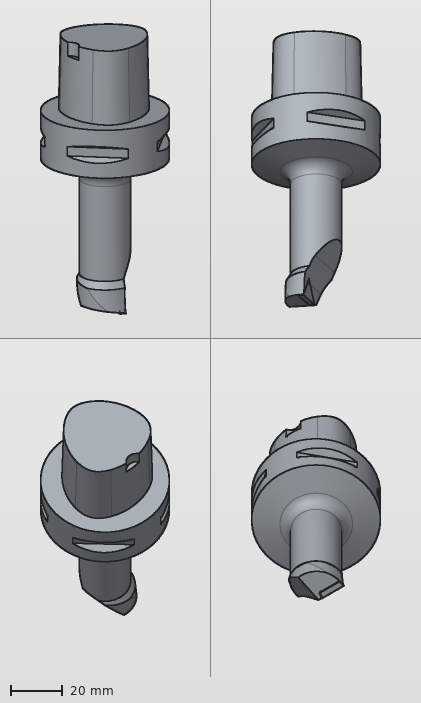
import cadquery as cq
import math


SHANK_HEIGHT = 30.0
SHANK_RADIUS_BOTTOM = 17.6
SHANK_RADIUS_TOP = 16.9
LOBE_RISE = 1.1
LOBE_HALF_ANGLE = 35.0
POINTS_PER_SIDE = 9
NOTCH_RADIUS = 4.2
NOTCH_DEPTH = 5.5
NOTCH_INNER_Y = -13.9

FLANGE_RADIUS = 25.02
FLANGE_HEIGHT = 19.6
BAR_RADIUS = 10.0
NECK_ANGLE = math.radians(15)
NECK_FILLET = 5.5

SLOT_COUNT = 4
SLOT_FLOOR_RADIUS = 22.0
SLOT_CENTER_Z = -10.1
SLOT_FLOOR_WIDTH = 3.7
SLOT_MOUTH_WIDTH = 6.8

TIP_Z = -80.0
HEAD_START_Z = -66.7
COLLAR_HEIGHT = 3.0
HEAD_RADIUS_TOP = 11.8
HEAD_RADIUS_BOTTOM = 12.5
HEAD_TRIM_RADIUS = 11.7
HEAD_TRIM_X = 1.0
HEAD_TRIM_Y = 0.1

RAKE_Y = 0.4
RAKE_TOP_Z = -73.2
CHIP_ARC_RADIUS = 18.7
CHIP_ANGLE = math.radians(35)
RELIEF_TOP_Z = -64.7
RELIEF_END_X = 1.1
END_GAP = 0.3
END_RELIEF_ANGLE = math.radians(9.5)

INSERT_TIP_X = 12.9
INSERT_EDGE = 10.5
INSERT_THICKNESS = 2.4
INSERT_CLEARANCE = 7.0

CUT_MARGIN = 5.5


def outline_point(mean_radius, degrees):
    """Point of the lobed outline whose outward normal has the given angle."""
    angle = math.radians(degrees)
    lobe_angle = 3 * math.radians(degrees - 90)
    reach = mean_radius + LOBE_RISE * math.cos(lobe_angle)
    slope = -3 * LOBE_RISE * math.sin(lobe_angle)
    x = reach * math.cos(angle) - slope * math.sin(angle)
    y = reach * math.sin(angle) + slope * math.cos(angle)
    return x, y


def outline_wire(mean_radius, z):
    """Closed outline: three lobes joined by three flatter sides."""
    edges = []
    for lobe in range(3):
        center = 90 + 120 * lobe
        limits = [center - LOBE_HALF_ANGLE, center + LOBE_HALF_ANGLE, center + 120 - LOBE_HALF_ANGLE]
        for start, end in zip(limits, limits[1:]):
            step = (end - start) / (POINTS_PER_SIDE - 1)
            points = [
                cq.Vector(*outline_point(mean_radius, start + step * i), z)
                for i in range(POINTS_PER_SIDE)
            ]
            edges.append(cq.Edge.makeSpline(points))
    return cq.Wire.assembleEdges(edges)


def make_shank():
    bottom = outline_wire(SHANK_RADIUS_BOTTOM, 0)
    top = outline_wire(SHANK_RADIUS_TOP, SHANK_HEIGHT)
    shank = cq.Workplane(cq.Solid.makeLoft([bottom, top], True))
    notch = (
        cq.Workplane("XY", origin=(0, NOTCH_INNER_Y - NOTCH_RADIUS, SHANK_HEIGHT - NOTCH_DEPTH))
        .circle(NOTCH_RADIUS)
        .extrude(NOTCH_DEPTH + CUT_MARGIN)
    )
    return shank.cut(notch)


def make_flange_and_bar():
    """Turned body; a fillet joins the conical neck to the bar."""
    fillet_x = BAR_RADIUS + NECK_FILLET * (1 - math.sin(NECK_ANGLE))
    fillet_z = -FLANGE_HEIGHT - (FLANGE_RADIUS - fillet_x) * math.tan(NECK_ANGLE)
    fillet_end_z = fillet_z - NECK_FILLET * math.cos(NECK_ANGLE)
    middle_angle = (math.pi / 2 - NECK_ANGLE) / 2
    middle_x = BAR_RADIUS + NECK_FILLET * (1 - math.cos(middle_angle))
    middle_z = fillet_end_z + NECK_FILLET * math.sin(middle_angle)
    return (
        cq.Workplane("XZ")
        .lineTo(FLANGE_RADIUS, 0)
        .lineTo(FLANGE_RADIUS, -FLANGE_HEIGHT)
        .lineTo(fillet_x, fillet_z)
        .threePointArc((middle_x, middle_z), (BAR_RADIUS, fillet_end_z))
        .lineTo(BAR_RADIUS, HEAD_START_Z)
        .lineTo(0, HEAD_START_Z)
        .close()
        .revolve(360, (0, 0), (0, 1))
    )


def make_slots():
    profile = [
        (SLOT_FLOOR_RADIUS, SLOT_CENTER_Z - SLOT_FLOOR_WIDTH / 2),
        (FLANGE_RADIUS, SLOT_CENTER_Z - SLOT_MOUTH_WIDTH / 2),
        (FLANGE_RADIUS, SLOT_CENTER_Z + SLOT_MOUTH_WIDTH / 2),
        (SLOT_FLOOR_RADIUS, SLOT_CENTER_Z + SLOT_FLOOR_WIDTH / 2),
    ]
    slot = cq.Workplane("XZ").polyline(profile).close().extrude(FLANGE_RADIUS, both=True)
    spacing = 360 / SLOT_COUNT
    return [slot.rotate((0, 0, 0), (0, 0, 1), spacing * (i + 0.5)) for i in range(SLOT_COUNT)]


def make_head():
    """Flared collar and head, narrowed by an upright cylinder."""
    flare = (
        cq.Workplane("XZ")
        .moveTo(0, HEAD_START_Z)
        .lineTo(BAR_RADIUS, HEAD_START_Z)
        .lineTo(HEAD_RADIUS_TOP, HEAD_START_Z - COLLAR_HEIGHT)
        .lineTo(HEAD_RADIUS_BOTTOM, TIP_Z)
        .lineTo(0, TIP_Z)
        .close()
        .revolve(360, (0, 0), (0, 1))
    )
    trim = (
        cq.Workplane("XY", origin=(HEAD_TRIM_X, HEAD_TRIM_Y, TIP_Z))
        .circle(HEAD_TRIM_RADIUS)
        .extrude(HEAD_START_Z - TIP_Z)
    )
    return flare.intersect(trim)


def make_chip_space():
    """Removes the +Y half of the head, running out along an arc and a slope."""
    arc_end_y = RAKE_Y + CHIP_ARC_RADIUS * (1 - math.cos(CHIP_ANGLE))
    arc_end_z = RAKE_TOP_Z + CHIP_ARC_RADIUS * math.sin(CHIP_ANGLE)
    middle_y = RAKE_Y + CHIP_ARC_RADIUS * (1 - math.cos(CHIP_ANGLE / 2))
    middle_z = RAKE_TOP_Z + CHIP_ARC_RADIUS * math.sin(CHIP_ANGLE / 2)
    outer_y = HEAD_RADIUS_BOTTOM + CUT_MARGIN
    outer_z = arc_end_z + (outer_y - arc_end_y) / math.tan(CHIP_ANGLE)
    return (
        cq.Workplane("YZ")
        .moveTo(RAKE_Y, TIP_Z - CUT_MARGIN)
        .lineTo(RAKE_Y, RAKE_TOP_Z)
        .threePointArc((middle_y, middle_z), (arc_end_y, arc_end_z))
        .lineTo(outer_y, outer_z)
        .lineTo(outer_y, TIP_Z - CUT_MARGIN)
        .close()
        .extrude(HEAD_RADIUS_BOTTOM + CUT_MARGIN, both=True)
    )


def make_back_relief():
    """Sloping cut that takes away the -X side of the head."""
    slope = (RELIEF_TOP_Z - TIP_Z) / (RELIEF_END_X + BAR_RADIUS)
    outer_x = -BAR_RADIUS - CUT_MARGIN
    inner_x = RELIEF_END_X + CUT_MARGIN
    corners = [
        (outer_x, RELIEF_TOP_Z + slope * CUT_MARGIN),
        (inner_x, TIP_Z - slope * CUT_MARGIN),
        (outer_x, TIP_Z - slope * CUT_MARGIN),
    ]
    reach = HEAD_RADIUS_BOTTOM + CUT_MARGIN
    return cq.Workplane("XZ").polyline(corners).close().extrude(reach, both=True)


def make_end_relief():
    """Sloping cut under the head, rising toward -Y."""
    reach = HEAD_RADIUS_BOTTOM + CUT_MARGIN
    end_z = TIP_Z + END_GAP
    corners = [
        (RAKE_Y, end_z),
        (RAKE_Y - reach, end_z + reach * math.tan(END_RELIEF_ANGLE)),
        (RAKE_Y - reach, TIP_Z - CUT_MARGIN),
        (RAKE_Y, TIP_Z - CUT_MARGIN),
    ]
    return cq.Workplane("YZ").polyline(corners).close().extrude(reach, both=True)


def make_insert():
    """Triangle lying in the rake face, tapering toward its seat."""
    corners = [
        (INSERT_TIP_X, TIP_Z),
        (INSERT_TIP_X - INSERT_EDGE, TIP_Z),
        (INSERT_TIP_X - INSERT_EDGE / 2, TIP_Z + INSERT_EDGE * math.sin(math.radians(60))),
    ]
    return (
        cq.Workplane("XZ", origin=(0, RAKE_Y, 0))
        .polyline(corners)
        .close()
        .extrude(INSERT_THICKNESS, taper=INSERT_CLEARANCE)
    )


def make_holder(insert):
    holder = make_flange_and_bar().union(make_shank()).union(make_head())
    for slot in make_slots():
        holder = holder.cut(slot)
    for cutter in (make_chip_space(), make_back_relief(), make_end_relief(), insert):
        holder = holder.cut(cutter)
    return holder


insert = make_insert()
holder = make_holder(insert)
result = cq.Compound.makeCompound([holder.solids().val(), insert.val()])